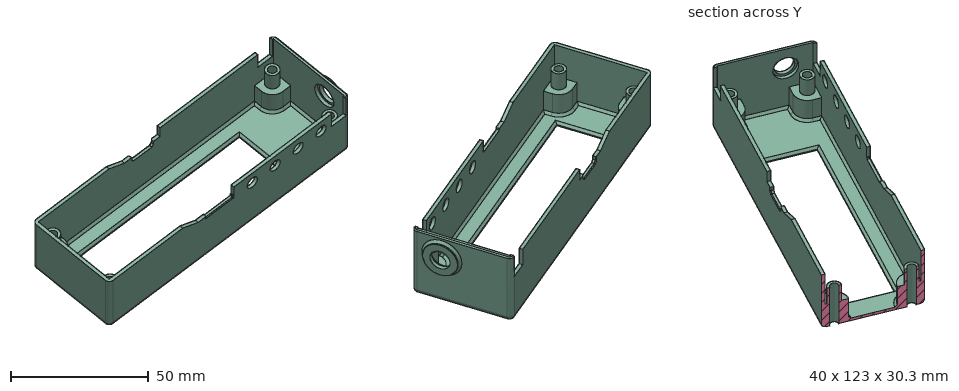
import cadquery as cq
import math

width = 40.0
body_length = 121.4
back_height = 30.3
wall = 1.5
floor = 1.5
edge_radius = 2.0
back_rim_chamfer = 0.5
half_width = width / 2
inner_half = half_width - wall
inner_back = body_length - wall

back_notch_z = 20.4
long_rim_z = 27.7
low_rim_z = 22.8
front_rim_z = 26.1
back_post_y = body_length - edge_radius
back_notch_y = 112.2
long_rim_y = 62.9
slope_low_y = 44.9
slope_high_y = 37.1

hole_x = half_width - 5.0
hole_inset_y = 5.4
hole_ys = (hole_inset_y, body_length - hole_inset_y)
boss_radius = 5.5
boss_top = 11.3
post_top = 19.0
post_diameter = 5.7
screw_diameter = 3.5

ramp = 1.0
ramp_top = floor + ramp

window_width = 23.1
window_length = 81.7
window_y = 55.2
window_bevel = 1.0

side_hole_diameter = 5.0
side_hole_count = 4
side_hole_first_y = 106.9
side_hole_pitch = 11.6
side_hole_z = 22.3

collar_x = 8.1
collar_z = 20.9
collar_height = 1.6
collar_diameter = 14.0
collar_flare = 1.0
collar_bore = 8.0
collar_recess = 10.0

recess_bevel = 0.4
left_recess_back_y = 59.9
left_recess_front_y = 48.2
left_recess_z = 19.8
left_recess_chamfer = 1.1
right_recess_front_y = 48.6
right_recess_z = 21.6

clearance = 6.2


def make_shell():
    """Solid block with rounded upright and bottom edges, trimmed to the rim profile.

    The chamfer on the top edges only survives around the tall back wall.
    """
    block = cq.Workplane("XY").box(width, body_length, back_height, centered=(True, False, False))
    block = block.edges("|Z").fillet(edge_radius).faces("<Z").edges().fillet(edge_radius)
    block = block.faces(">Z").edges().chamfer(back_rim_chamfer)
    rim = [
        (0, 0),
        (body_length, 0),
        (body_length, back_height),
        (back_post_y, back_height),
        (back_post_y, back_notch_z),
        (back_notch_y, back_notch_z),
        (back_notch_y, long_rim_z),
        (long_rim_y, long_rim_z),
        (long_rim_y, low_rim_z),
        (slope_low_y, low_rim_z),
        (slope_high_y, front_rim_z),
        (0, front_rim_z),
    ]
    profile = cq.Workplane("YZ").polyline(rim).close().extrude(half_width, both=True)
    return block.intersect(profile)


def cavity_outline(z):
    """Inner floor outline at height z, with each corner cut away around its boss."""
    front_y, back_y = hole_ys
    boss_x = hole_x - boss_radius
    front_edge = front_y + boss_radius
    back_edge = back_y - boss_radius
    bend = boss_radius * math.sqrt(0.5)
    return (
        cq.Workplane("XY", origin=(0, 0, z))
        .moveTo(-boss_x, wall)
        .lineTo(boss_x, wall)
        .lineTo(boss_x, front_y)
        .threePointArc((hole_x - bend, front_y + bend), (hole_x, front_edge))
        .lineTo(inner_half, front_edge)
        .lineTo(inner_half, back_edge)
        .lineTo(hole_x, back_edge)
        .threePointArc((hole_x - bend, back_y - bend), (boss_x, back_y))
        .lineTo(boss_x, inner_back)
        .lineTo(-boss_x, inner_back)
        .lineTo(-boss_x, back_y)
        .threePointArc((bend - hole_x, back_y - bend), (-hole_x, back_edge))
        .lineTo(-inner_half, back_edge)
        .lineTo(-inner_half, front_edge)
        .lineTo(-hole_x, front_edge)
        .threePointArc((bend - hole_x, front_y + bend), (-boss_x, front_y))
        .close()
    )


def make_cavity():
    """Interior: open box over the bosses, outline between them, tapering in at the floor."""
    above = cq.Workplane("XY", origin=(0, wall, boss_top)).box(
        2 * inner_half, inner_back - wall, back_height, centered=(True, False, False)
    )
    between = cavity_outline(ramp_top).extrude(boss_top - ramp_top)
    tapered = cavity_outline(ramp_top).extrude(-ramp, taper=45)
    return above.union(between).union(tapered)


def make_window():
    """Opening through the floor: a straight lip below four 45 degree slopes."""
    plane = cq.Workplane("XY", origin=(0, window_y, 0))
    lip = plane.rect(window_width, window_length).extrude(floor)
    slopes = (
        plane.workplane(offset=floor)
        .rect(window_width + 2 * window_bevel, window_length + 2 * window_bevel)
        .extrude(-window_bevel, taper=45)
    )
    return lip.union(slopes)


def at_bosses(z):
    """Workplane at height z with one point on each boss axis."""
    points = [(x, y) for x in (-hole_x, hole_x) for y in hole_ys]
    return cq.Workplane("XY", origin=(0, 0, z)).pushPoints(points)


def make_side_holes():
    """Row of holes along the +X wall."""
    points = [(side_hole_first_y - i * side_hole_pitch, side_hole_z) for i in range(side_hole_count)]
    return (
        cq.Workplane("YZ", origin=(inner_half - clearance, 0, 0))
        .pushPoints(points)
        .circle(side_hole_diameter / 2)
        .extrude(wall + 2 * clearance)
    )


def collar_disc(diameter, start_y, depth):
    """Cylinder on the collar axis, running toward +Y."""
    plane = cq.Workplane("XZ", origin=(collar_x, start_y, collar_z))
    return plane.circle(diameter / 2).extrude(-depth)


def make_collar():
    """Raised disc with a conical flare where it meets the back wall."""
    radius = collar_diameter / 2
    return (
        cq.Workplane("XY", origin=(collar_x, body_length, collar_z))
        .lineTo(radius + collar_flare, 0)
        .lineTo(radius, collar_flare)
        .lineTo(radius, collar_height)
        .lineTo(0, collar_height)
        .close()
        .revolve(360, (0, 0, 0), (0, 1, 0))
    )


def make_rim_recess(side, outline):
    """Cut through one side wall that narrows by the bevel just inside the outer face."""
    plane = cq.Workplane("YZ", origin=(side * half_width, 0, 0))
    bevel = plane.polyline(outline).close().extrude(-side * recess_bevel, taper=45)
    narrowed = plane.polyline(outline).close().offset2D(-recess_bevel, "intersection")
    through = narrowed.extrude(-side * 2 * wall)
    return bevel.union(through)


left_recess_outline = [
    (left_recess_back_y, low_rim_z + clearance),
    (left_recess_back_y, left_recess_z + left_recess_chamfer),
    (left_recess_back_y - left_recess_chamfer, left_recess_z),
    (left_recess_front_y + left_recess_chamfer, left_recess_z),
    (left_recess_front_y, left_recess_z + left_recess_chamfer),
    (left_recess_front_y, low_rim_z + clearance),
]
right_recess_outline = [
    (long_rim_y, low_rim_z + clearance),
    (long_rim_y, right_recess_z),
    (right_recess_front_y, right_recess_z),
    (right_recess_front_y, low_rim_z + clearance),
]

result = make_shell().cut(make_cavity())
result = result.cut(make_window())
result = result.union(at_bosses(boss_top).circle(post_diameter / 2).extrude(post_top - boss_top))
result = result.cut(at_bosses(0).circle(screw_diameter / 2).extrude(post_top))
result = result.cut(make_side_holes())
result = result.union(make_collar())
result = result.cut(collar_disc(collar_bore, inner_back, wall + collar_height))
result = result.cut(collar_disc(collar_recess, inner_back, wall))
result = result.cut(make_rim_recess(-1, left_recess_outline))
result = result.cut(make_rim_recess(1, right_recess_outline))